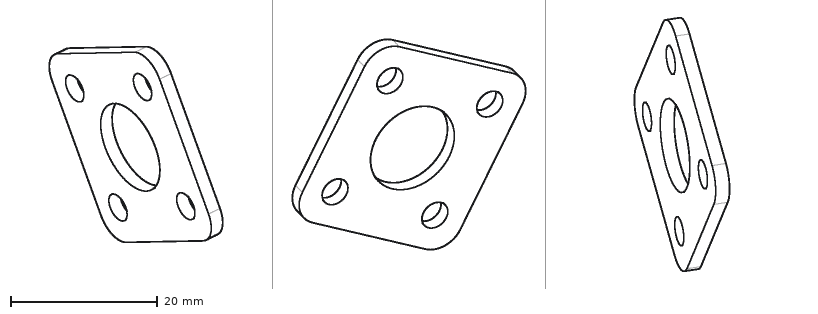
import cadquery as cq

side = 28.0
thickness = 2.0
corner_radius = 4.0

bore_diameter = 13.0
bolt_hole_diameter = 4.0
bolt_circle_diameter = 24.98

lean = 4.15
roll = 30.0

plate = (
    cq.Workplane("XZ")
    .rect(side, side)
    .extrude(thickness / 2, both=True)
    .edges("|Y")
    .fillet(corner_radius)
)

plate = plate.faces("<Y").workplane(origin=(0, 0, 0)).hole(bore_diameter)

plate = (
    plate.faces("<Y")
    .workplane(origin=(0, 0, 0))
    .polarArray(bolt_circle_diameter / 2, 45, 360, 4)
    .hole(bolt_hole_diameter)
)

result = plate.rotate((0, 0, 0), (0, 0, 1), -lean).rotate((0, 0, 0), (0, 1, 0), -roll)